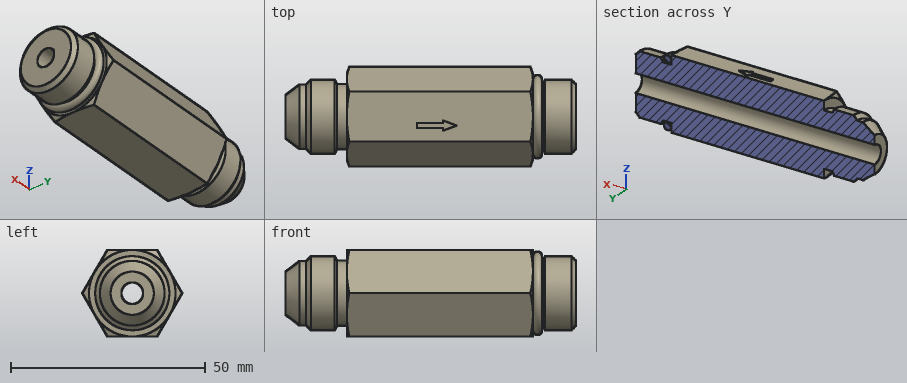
import cadquery as cq
import math

total_length = 74.68
hex_start = 15.8
hex_length = 47.75
hex_end = hex_start + hex_length

hex_flats = 22.23
hex_corners = hex_flats / math.cos(math.radians(30))
hex_chamfer_angle = 20
hex_chamfer_length = (hex_corners - hex_flats) / 2 * math.tan(math.radians(hex_chamfer_angle))

thread_diameter = 19.05
thread_chamfer = 1.22
thread_root_diameter = thread_diameter - 2 * thread_chamfer
bore_diameter = 5.5

flare_face_diameter = 11.1
flare_half_angle = 37
flare_length = (thread_root_diameter - flare_face_diameter) / 2 / math.tan(math.radians(flare_half_angle))
inlet_thread_start = 5.36
inlet_thread_end = 13.3
inlet_neck_diameter = 16.82
runout_length = 0.6

groove_diameter = 16.76
ring_section = 2.36
ring_centre_diameter = groove_diameter + ring_section
outlet_thread_start = 66.1
outlet_chamfer = 1.27

arrow_start = 33.8
arrow_head_start = 40.5
arrow_tip = 44.0
arrow_centre_y = -2.27
arrow_shaft_width = 1.22
arrow_head_width = 2.6
arrow_depth = 0.1


def turned(points):
    """Solid of revolution about the X axis from (x, diameter) points."""
    first_x = points[0][0]
    last_x = points[-1][0]
    outline = [(first_x, 0)] + [(x, diameter / 2) for x, diameter in points] + [(last_x, 0)]
    return cq.Workplane("XY").polyline(outline).close().revolve(360, (0, 0, 0), (1, 0, 0))


def make_barrel():
    """Hexagonal bar with flats at top and bottom and conically chamfered ends."""
    bar = (
        cq.Workplane("YZ")
        .workplane(offset=hex_start)
        .polygon(6, hex_corners)
        .extrude(hex_length)
    )
    envelope = turned([
        (hex_start, hex_flats),
        (hex_start + hex_chamfer_length, hex_corners),
        (hex_end - hex_chamfer_length, hex_corners),
        (hex_end, hex_flats),
    ])
    return bar.intersect(envelope)


def make_inlet():
    """Flare cone, threaded collar and neck at the inlet."""
    return turned([
        (0, flare_face_diameter),
        (flare_length, thread_root_diameter),
        (inlet_thread_start, thread_root_diameter),
        (inlet_thread_start + thread_chamfer, thread_diameter),
        (inlet_thread_end - runout_length, thread_diameter),
        (inlet_thread_end, inlet_neck_diameter),
        (hex_start, inlet_neck_diameter),
    ])


def make_outlet():
    """O-ring groove and threaded collar at the outlet."""
    return turned([
        (hex_end, groove_diameter),
        (outlet_thread_start, groove_diameter),
        (outlet_thread_start + runout_length, thread_diameter),
        (total_length - outlet_chamfer, thread_diameter),
        (total_length, thread_diameter - 2 * outlet_chamfer),
    ])


def make_arrow():
    """Shallow flow arrow that points toward the outlet."""
    shaft = arrow_shaft_width / 2
    head = arrow_head_width / 2
    return (
        cq.Workplane("XY", origin=(0, arrow_centre_y, hex_flats / 2))
        .polyline([
            (arrow_start, -shaft),
            (arrow_head_start, -shaft),
            (arrow_head_start, -head),
            (arrow_tip, 0),
            (arrow_head_start, head),
            (arrow_head_start, shaft),
            (arrow_start, shaft),
        ])
        .close()
        .extrude(-arrow_depth)
    )


def make_valve_body():
    """One-piece valve body with a through bore along X."""
    bore = cq.Workplane("YZ").circle(bore_diameter / 2).extrude(total_length)
    return make_barrel().union(make_inlet()).union(make_outlet()).cut(bore).cut(make_arrow())


def make_o_ring():
    """Round-section seal that rests in the groove against the barrel end."""
    return (
        cq.Workplane("XY")
        .center(hex_end + ring_section / 2, ring_centre_diameter / 2)
        .circle(ring_section / 2)
        .revolve(360, (0, -ring_centre_diameter / 2, 0), (1, -ring_centre_diameter / 2, 0))
    )


valve_body = make_valve_body()
o_ring = make_o_ring()

result = cq.Compound.makeCompound([valve_body.solids().val(), o_ring.val()])